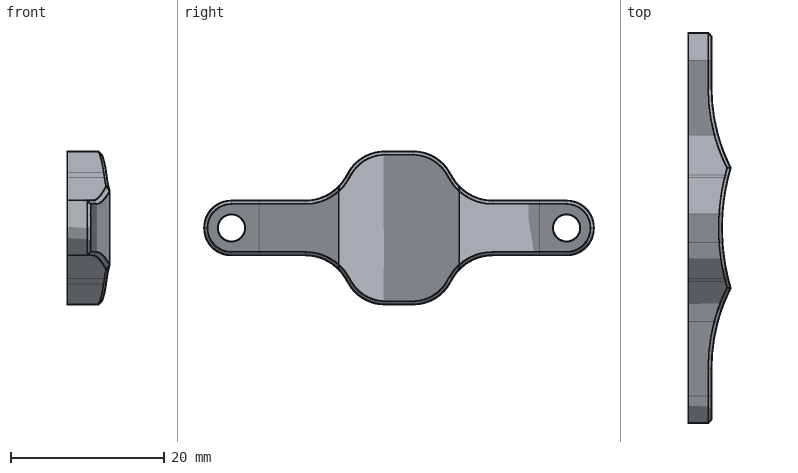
import cadquery as cq
import math

length = 50.95
body_height = 20.0
arm_width = 7.2
hole_diameter = 3.5

flat_half_length = 1.85
shoulder_radius = 5.5
neck_radius = 6.0
flank_angle = math.radians(60)

arm_thickness = 3.05
ridge_thickness = 5.55
dip_thickness = 4.45
ridge_offset = 7.85
ramp_start = 18.35

chamfer_size = 0.45

half_length = length / 2
half_height = body_height / 2
arm_half_width = arm_width / 2
hole_offset = half_length - arm_half_width


def arc_point(center, radius, angle):
    """Point on a circle, with the angle measured from +Z towards +Y."""
    y, z = center
    return (y + radius * math.sin(angle), z + radius * math.cos(angle))


def plan_outline():
    """Closed outline in the YZ plane, built from one quarter and mirrored."""
    arc_drop = (shoulder_radius + neck_radius) * (1 - math.cos(flank_angle))
    flank_length = (half_height - arm_half_width - arc_drop) / math.sin(flank_angle)
    arc_run = (shoulder_radius + neck_radius) * math.sin(flank_angle)
    neck_end = flat_half_length + arc_run + flank_length * math.cos(flank_angle)

    shoulder_center = (flat_half_length, half_height - shoulder_radius)
    neck_center = (neck_end, arm_half_width + neck_radius)
    quarter = (
        cq.Workplane("YZ")
        .moveTo(0, half_height)
        .lineTo(flat_half_length, half_height)
        .threePointArc(
            arc_point(shoulder_center, shoulder_radius, flank_angle / 2),
            arc_point(shoulder_center, shoulder_radius, flank_angle),
        )
        .lineTo(*arc_point(neck_center, -neck_radius, flank_angle))
        .threePointArc(
            arc_point(neck_center, -neck_radius, flank_angle / 2),
            (neck_end, arm_half_width),
        )
        .lineTo(hole_offset, arm_half_width)
        .threePointArc(
            arc_point((hole_offset, 0), arm_half_width, math.radians(45)),
            (half_length, 0),
        )
    )
    return quarter.mirrorX().mirrorY()


def sloped_body():
    """Side profile in the XY plane, with two ridges and a dip between them, as wide as the body."""
    ramp_rise = ridge_thickness - arm_thickness
    ramp_run = ramp_start - ridge_offset
    ramp_radius = (ramp_rise**2 + ramp_run**2) / (2 * ramp_rise)
    ramp_half_angle = math.atan2(ramp_rise, ramp_run)
    ramp_middle = (
        arm_thickness + ramp_radius * (1 - math.cos(ramp_half_angle)),
        ramp_start - ramp_radius * math.sin(ramp_half_angle),
    )
    return (
        cq.Workplane("XY")
        .moveTo(0, -half_length)
        .lineTo(arm_thickness, -half_length)
        .lineTo(arm_thickness, -ramp_start)
        .threePointArc((ramp_middle[0], -ramp_middle[1]), (ridge_thickness, -ridge_offset))
        .threePointArc((dip_thickness, 0), (ridge_thickness, ridge_offset))
        .threePointArc(ramp_middle, (arm_thickness, ramp_start))
        .lineTo(arm_thickness, half_length)
        .lineTo(0, half_length)
        .close()
        .extrude(half_height, both=True)
    )


def chamfer_rim(plate):
    """Chamfer the +X rim, leaving the ridges and tangent lines that cross the plate along Z."""
    rim_zone = cq.selectors.BoxSelector(
        (arm_thickness - chamfer_size, -length, -length),
        (length, length, length),
        boundingbox=True,
    )
    return plate.edges(rim_zone).edges("not |Z").chamfer(chamfer_size)


def drill_holes(plate):
    """Through hole at the center of each rounded arm end."""
    drill = (
        cq.Workplane("YZ")
        .pushPoints([(-hole_offset, 0), (hole_offset, 0)])
        .circle(hole_diameter / 2)
        .extrude(arm_thickness)
    )
    return plate.cut(drill)


plate = plan_outline().extrude(ridge_thickness).intersect(sloped_body())
result = drill_holes(chamfer_rim(plate))